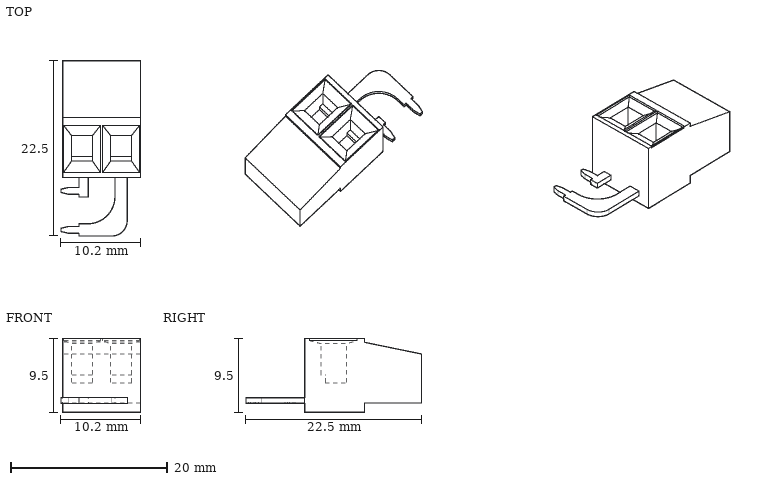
import cadquery as cq

pole_count = 2
pole_pitch = 5.0
housing_width = pole_count * pole_pitch
housing_height = 9.5
housing_length = 15.0
block_length = 7.7
plug_underside = 1.2
plug_top_at_block = 9.0
plug_top_at_end = 7.5

funnel_width = 4.75
funnel_length = 6.05
funnel_front_wall = 0.65
rim_depth = 0.3
funnel_depth = 0.4
shaft_width = 2.7
shaft_length = 3.3
shaft_front = 2.1
shaft_depth = 4.0
well_depth = 1.0
well_length = 2.7

pin_bottom = 1.15
pin_thickness = 0.75
pin_embed = 1.0
pin_shoulder_x = 2.1
tip_end_x = -0.2
taper_start_x = 0.75
tip_width = 0.9
tip_end_width = 0.45
short_tip_reach = 1.7
long_tip_reach = short_tip_reach + pole_pitch
short_pin_width = 1.2
short_pin_reach = 2.5
long_pin_width = 1.6
long_pin_right = 8.3
long_pin_reach = 7.5
bend_outer_radius = 2.0
bend_inner_radius = 3.45


def box(corner, size):
    """Box given by its lowest corner and its sizes along X, Y and Z."""
    return cq.Workplane("XY").box(*size, centered=False).translate(corner)


def make_housing():
    """Tall block with a lower plug end whose top slopes down toward +Y."""
    return (
        cq.Workplane("YZ")
        .moveTo(0, 0)
        .lineTo(block_length, 0)
        .lineTo(block_length, plug_underside)
        .lineTo(housing_length, plug_underside)
        .lineTo(housing_length, plug_top_at_end)
        .lineTo(block_length, plug_top_at_block)
        .lineTo(block_length, housing_height)
        .lineTo(0, housing_height)
        .close()
        .extrude(housing_width)
    )


def make_wire_entry(center_x):
    """Straight rim, sloped funnel and stepped shaft of one wire entry."""
    rim_bottom = housing_height - rim_depth
    funnel_bottom = rim_bottom - funnel_depth
    shaft_bottom = funnel_bottom - shaft_depth
    shaft_left = center_x - shaft_width / 2
    shaft_back = shaft_front + shaft_length
    funnel_center_y = funnel_front_wall + funnel_length / 2
    shaft_center_y = shaft_front + shaft_length / 2

    rim = box(
        (center_x - funnel_width / 2, funnel_front_wall, rim_bottom),
        (funnel_width, funnel_length, rim_depth),
    )
    funnel = (
        cq.Workplane("XY", origin=(center_x, funnel_center_y, rim_bottom))
        .rect(funnel_width, funnel_length)
        .workplane(offset=-funnel_depth)
        .center(0, shaft_center_y - funnel_center_y)
        .rect(shaft_width, shaft_length)
        .loft(ruled=True)
    )
    shaft = box(
        (shaft_left, shaft_front, shaft_bottom),
        (shaft_width, shaft_length, shaft_depth),
    )
    well = box(
        (shaft_left, shaft_back - well_length, shaft_bottom - well_depth),
        (shaft_width, well_length, well_depth),
    )
    return rim.union(funnel).union(shaft).union(well)


def make_tip(reach):
    """Tapered tip whose centerline lies at the given distance from the front face."""
    return (
        cq.Workplane("XY", origin=(0, -reach, pin_bottom))
        .moveTo(pin_shoulder_x, -tip_width / 2)
        .lineTo(pin_shoulder_x, tip_width / 2)
        .lineTo(taper_start_x, tip_width / 2)
        .lineTo(tip_end_x, tip_end_width / 2)
        .lineTo(tip_end_x, -tip_end_width / 2)
        .lineTo(taper_start_x, -tip_width / 2)
        .close()
        .extrude(pin_thickness)
    )


def make_short_pin():
    """Straight bar with a tip on its side."""
    bar = box(
        (pin_shoulder_x, -short_pin_reach, pin_bottom),
        (short_pin_width, short_pin_reach + pin_embed, pin_thickness),
    )
    return bar.union(make_tip(short_tip_reach))


def make_long_pin():
    """Bar bent a quarter turn toward -X, with a tip on its end."""
    left = long_pin_right - long_pin_width
    arm_back = -long_pin_reach + long_pin_width
    bar = (
        cq.Workplane("XY", origin=(0, 0, pin_bottom))
        .moveTo(long_pin_right, pin_embed)
        .lineTo(long_pin_right, -long_pin_reach + bend_outer_radius)
        .radiusArc((long_pin_right - bend_outer_radius, -long_pin_reach), bend_outer_radius)
        .lineTo(pin_shoulder_x, -long_pin_reach)
        .lineTo(pin_shoulder_x, arm_back)
        .lineTo(left - bend_inner_radius, arm_back)
        .radiusArc((left, arm_back + bend_inner_radius), -bend_inner_radius)
        .lineTo(left, pin_embed)
        .close()
        .extrude(pin_thickness)
    )
    return bar.union(make_tip(long_tip_reach))


result = make_housing()
for pole in range(pole_count):
    result = result.cut(make_wire_entry((pole + 0.5) * pole_pitch))
result = result.union(make_short_pin()).union(make_long_pin())